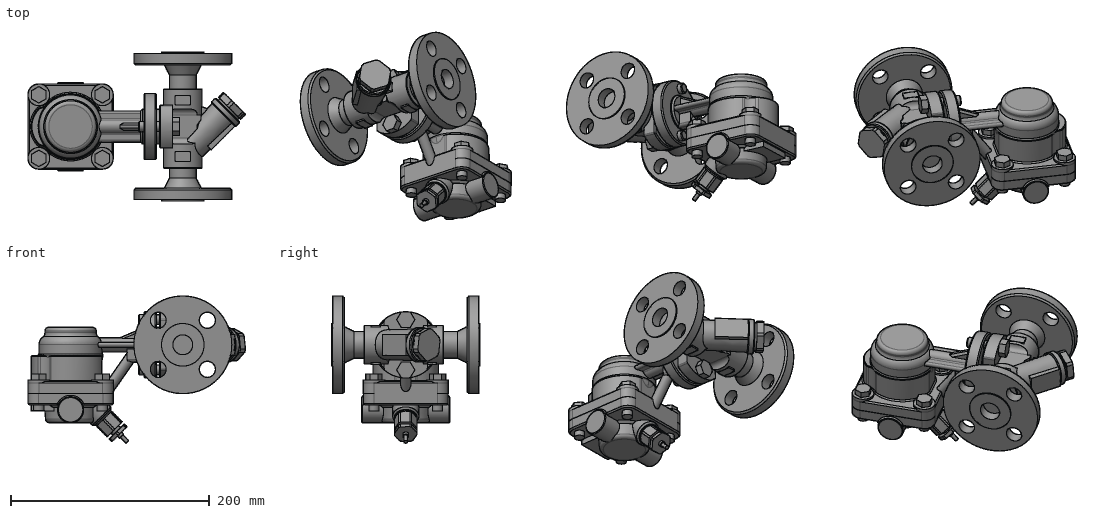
import cadquery as cq
import math


HEX_SECTOR = 60.0

FACE_TO_FACE = 150.0
FLANGE_R = 98.6 / 2
FLANGE_BACK_Y = 61.9
FLANGE_EDGE_CHAMFER = 1.8
RAISED_FACE_R = 42.9 / 2
RAISED_FACE_H = 1.4
BORE_R = 20.0 / 2
BORE_DEPTH = 11.0
FLANGE_HOLE_D = 16.0
FLANGE_HOLE_COUNT = 4
FLANGE_FIRST_HOLE_ANGLE = 45
FLANGE_BOLT_CIRCLE_R = 69.9 / 2
PIPE_R = 27.2 / 2
PIPE_START_Y = 30.0
HUB_R = 18.6
HUB_START_Y = 52.0

BODY_R = 39.0 / 2
BODY_Y_MIN = -42.0
BODY_Y_MAX = 38.0
BODY_CHAMFER = 0.7
WAIST_HALF_H = 13.0
WAIST_HALF_Y = 11.7
WAIST_WALL_R = 6.0
WAIST_RIGHT_X = 18.3
WAIST_SLOPE_FOOT_X = 5.2
WAIST_SLOPE_TOP_Y = 6.9
WEB_TOP_Y = 20.0
WEB_TIP = (24.7, 18.1)
WEB_HALF_H = 5.0
PAD_HALF_X = 7.8
PAD_TOP_Z = 19.6
PAD_CORNER_R = 1.0
PAD_SPANS_Y = ((21.8, 31.1), (-35.2, -25.2))

JOINT_R = 33.4
BODY_JOINT_X = (-23.6, -10.2)
BODY_JOINT_HALF_Y = 21.7
BODY_JOINT_FILLET = 2.0
BODY_JOINT_CHAMFER = 1.2
ARM_JOINT_X = (-39.3, -26.5)
ARM_JOINT_CHAMFER = 1.3
JOINT_NECK_R = 17.7
JOINT_PAD_X = -42.4
JOINT_PAD_CHAMFER = 1.8
JOINT_BOLT_Z = 25.3
JOINT_BOLT_R = 10.0 / 2
JOINT_BOLT_END_R = 10.5 / 2
JOINT_BOLT_END_X = -44.6
JOINT_BOLT_END_CHAMFER = 1.0
JOINT_HEAD_X = -3.2
JOINT_HEAD_CORNER_D = 18.2

BRANCH_START_Y = -28.7
BRANCH_ROOT_R = 15.0
BRANCH_R = 16.0
COLLAR_R = 35.0 / 2
COLLAR_START = 57.5
COLLAR_END = 64.2
COLLAR_CHAMFER = 1.0
PLUG_NECK_R = 14.0
PLUG_HEX_START = 66.5
PLUG_END = 73.6
PLUG_FLATS = 30.0
PLUG_CORNERS = 32.75
PLUG_TURN = 21.5
BRANCH_PAD_START = 24.0
BRANCH_PAD_TOP = 16.5
BRANCH_PAD_HALF_H = 10.6

TRAP_X = -113.0
TRAP_SIDE = 86.0
CORNER_R = 11.0
COVER_WIDTH_Y = 85.2
BOLT_OFFSET = 32.0
TRAP_FLANGE_TOP_Z = -37.2
PARTING_Z = -49.25
COVER_BOTTOM_Z = -60.7
TRAP_EDGE = 1.5
BOSS_TOP_Z = -35.2
TRAP_HEAD_TOP_Z = -29.2
TRAP_HEAD_CORNER_D = 16.6
TRAP_BOLT_R = 10.5 / 2
TRAP_BOLT_END_Z = -66.5

BARREL_R = 33.2
BARREL_TOP_Z = -10.8
BARREL_EDGE = 0.8
BARREL_RIGHT_X = -81.6
BULGE_LEFT_X = -152.7
BULGE_R = 26.0
COVE_R = 13.0
COVE_EDGE_R = 4.5
BARREL_FOOT = 1.4
DOME_FOOT_Z = -9.1
DOME_FOOT_R = 32.6
DOME_R = 31.9
DOME_SHOULDER_Z = 0.2
DOME_SHOULDER_ARC_R = 9.4
DOME_SHOULDER_ANGLE = 60.0
CAP_R = 26.0
CAP_NECK_Z = 12.4
CAP_TOP_Z = 17.75
CAP_EDGE_R = 4.1

BOWL_TOP_R = 26.5
BOWL_FLARE = 2.5
BOWL_R = 25.0
BOWL_EDGE_R = 4.0
BOTTOM_Z = -78.6
SIDE_BOSS_R = 13.2
SIDE_BOSS_LENGTH = 89.0
SIDE_BOSS_CHAMFER = 0.9
SIDE_BOSS_FLARE = 1.4
BLOCK_LEFT_X = -152.7
BLOCK_HALF_Y = 20.0

DRAIN_AXIS_POINT = (-76.85, -76.85)
DRAIN_BOSS_R = 13.2
DRAIN_BOSS_CHAMFER = 1.8
DRAIN_BOSS_START = -22.0
DRAIN_BOSS_END = -5.2
DRAIN_NECK_R = 21.0 / 2
DRAIN_NUT = (-3.6, 11.7)
DRAIN_WHEEL = (14.6, 18.5)
DRAIN_SPINDLE_R = 11.0 / 2
DRAIN_STEM_BASE_R = 6.0 / 2
DRAIN_STEM_BASE_END = 21.5
DRAIN_STEM_R = 4.0 / 2
DRAIN_STEM_END = 29.55
DRAIN_FLATS = 21.0
DRAIN_CORNERS = 23.0
DRAIN_TURN = 4.0

ARM_TUBE_R = 7.3
ARM_HALF_Y = 15.9
ARM_HALF_H = 2.5
ARM_ROOT_FILLET = 1.7
RIB_HALF_Y = 3.8
RIB_CHAMFER = 2.2
RIB_START_X = -63.0
RIB_TOP_Z = 16.0
ARM_BLOCK_LEFT_X = -56.0
ARM_BLOCK_HALF_Y = 6.0
ARM_BLOCK_BOTTOM_Z = -17.6
ARM_BLOCK_FILLET = 3.0
RETURN_TUBE_R = 11.0 / 2
RETURN_TUBE_TOP = (-50.8, -10.0)
RETURN_TUBE_BOTTOM = (-75.2, -45.0)


def cylinder(start, end, radius):
    """Solid cylinder between two points."""
    axis = cq.Vector(*end) - cq.Vector(*start)
    return cq.Workplane(obj=cq.Solid.makeCylinder(radius, axis.Length, cq.Vector(*start), axis))


def cone(start, end, start_r, end_r):
    """Solid cone frustum between two points."""
    axis = cq.Vector(*end) - cq.Vector(*start)
    return cq.Workplane(obj=cq.Solid.makeCone(start_r, end_r, axis.Length, cq.Vector(*start), axis))


def box(x_span, y_span, z_span):
    """Axis-aligned box given by its limits."""
    size = [span[1] - span[0] for span in (x_span, y_span, z_span)]
    corner = cq.Vector(x_span[0], y_span[0], z_span[0])
    return cq.Workplane(obj=cq.Solid.makeBox(*size, corner))


def blunt_hex(plane, station, length, flats, corners, turn):
    """Hexagonal prism whose six corners are cut flat."""
    def prism(across, angle):
        corner_d = across / math.cos(math.radians(HEX_SECTOR / 2))
        prism_plane = cq.Plane(plane.origin, plane.xDir, plane.zDir).rotated((0, 0, angle))
        return cq.Workplane(prism_plane).workplane(offset=station).polygon(6, corner_d).extrude(length)
    return prism(flats, turn).intersect(prism(corners, turn + HEX_SECTOR / 2))


def pipe_end(side):
    """Pipe, welding hub and drilled flange at one end of the connector."""
    face_y = FACE_TO_FACE / 2
    rim_y = face_y - RAISED_FACE_H
    bore_y = face_y - BORE_DEPTH
    profile = (
        cq.Workplane("XY")
        .moveTo(0, PIPE_START_Y)
        .lineTo(PIPE_R, PIPE_START_Y)
        .lineTo(PIPE_R, HUB_START_Y)
        .lineTo(HUB_R, FLANGE_BACK_Y)
        .lineTo(FLANGE_R - FLANGE_EDGE_CHAMFER, FLANGE_BACK_Y)
        .lineTo(FLANGE_R, FLANGE_BACK_Y + FLANGE_EDGE_CHAMFER)
        .lineTo(FLANGE_R, rim_y)
        .lineTo(RAISED_FACE_R, rim_y)
        .lineTo(RAISED_FACE_R, face_y)
        .lineTo(BORE_R, face_y)
        .lineTo(BORE_R, bore_y)
        .lineTo(0, bore_y)
        .close()
    )
    end = profile.revolve(360, (0, 0, 0), (0, 1, 0))
    holes = (
        cq.Workplane("XZ")
        .polarArray(FLANGE_BOLT_CIRCLE_R, FLANGE_FIRST_HOLE_ANGLE, 360, FLANGE_HOLE_COUNT)
        .circle(FLANGE_HOLE_D / 2)
        .extrude(-FACE_TO_FACE)
    )
    end = end.cut(holes)
    return end if side > 0 else end.mirror("XZ")


def connector_body():
    """Cylindrical body with flats for the joint bolt heads and raised pads on top and below."""
    body = cylinder((0, BODY_Y_MIN, 0), (0, BODY_Y_MAX, 0), BODY_R).faces("<Y or >Y").chamfer(BODY_CHAMFER)
    waist_plan = [
        (0, -WAIST_HALF_Y),
        (WAIST_SLOPE_FOOT_X, -WAIST_HALF_Y),
        (WAIST_RIGHT_X, WAIST_SLOPE_TOP_Y),
        (WAIST_RIGHT_X, WAIST_HALF_Y),
        (0, WAIST_HALF_Y),
    ]
    waist = cq.Workplane("XY", origin=(0, 0, -BODY_R)).polyline(waist_plan).close().extrude(2 * BODY_R)
    body = body.union(waist)
    wall_y = WAIST_HALF_Y + WAIST_WALL_R
    wall_z = WAIST_HALF_H + WAIST_WALL_R
    waist_profile = (
        cq.Workplane("YZ", origin=(-BODY_R, 0, 0))
        .moveTo(-WAIST_HALF_Y, WAIST_HALF_H)
        .lineTo(WAIST_HALF_Y, WAIST_HALF_H)
        .radiusArc((wall_y, wall_z), -WAIST_WALL_R)
        .lineTo(wall_y, wall_z + WAIST_WALL_R)
        .lineTo(-wall_y, wall_z + WAIST_WALL_R)
        .lineTo(-wall_y, wall_z)
        .radiusArc((-WAIST_HALF_Y, WAIST_HALF_H), -WAIST_WALL_R)
        .close()
    )
    flat = waist_profile.extrude(2 * BODY_R)
    body = body.cut(flat).cut(flat.mirror("XY"))
    for span in PAD_SPANS_Y:
        pad = box((-PAD_HALF_X, PAD_HALF_X), span, (-PAD_TOP_Z, PAD_TOP_Z))
        body = body.union(pad.edges("|Z").fillet(PAD_CORNER_R))
    return body


def strainer_branch():
    """Tapered 45 degree branch closed by a collar and a hexagon plug."""
    diagonal = math.sqrt(0.5)
    plane = cq.Plane((0, BRANCH_START_Y, 0), (diagonal, -diagonal, 0), (diagonal, diagonal, 0))
    branch = (
        cq.Workplane(plane).circle(BRANCH_ROOT_R).workplane(offset=COLLAR_START).circle(BRANCH_R).loft()
    )
    branch = branch.intersect(box((0, COLLAR_END), (-COLLAR_END, COLLAR_END), (-COLLAR_R, COLLAR_R)))
    collar = (
        cq.Workplane(plane)
        .workplane(offset=COLLAR_START)
        .circle(COLLAR_R)
        .extrude(COLLAR_END - COLLAR_START)
        .edges()
        .chamfer(COLLAR_CHAMFER)
    )
    neck = (
        cq.Workplane(plane)
        .workplane(offset=COLLAR_START)
        .circle(PLUG_NECK_R)
        .extrude(PLUG_HEX_START - COLLAR_START)
    )
    plug = blunt_hex(
        plane, PLUG_HEX_START, PLUG_END - PLUG_HEX_START, PLUG_FLATS, PLUG_CORNERS, PLUG_TURN
    )
    pad = (
        cq.Workplane(plane)
        .workplane(offset=BRANCH_PAD_START)
        .center(BRANCH_PAD_TOP / 2, 0)
        .rect(BRANCH_PAD_TOP, 2 * BRANCH_PAD_HALF_H)
        .extrude(COLLAR_START - BRANCH_PAD_START)
    )
    web = (
        cq.Workplane("XY", origin=(0, 0, -WEB_HALF_H))
        .polyline([(0, WEB_TOP_Y), (BODY_R, WEB_TOP_Y), WEB_TIP, (0, BRANCH_START_Y)])
        .close()
        .extrude(2 * WEB_HALF_H)
    )
    return branch.union(pad).union(web).union(collar).union(neck).union(plug)


def joint():
    """Two facing flanges, the neck between them and the two clamping bolts."""
    body_side = cylinder((BODY_JOINT_X[0], 0, 0), (BODY_JOINT_X[1], 0, 0), JOINT_R)
    sides = box(BODY_JOINT_X, (-BODY_JOINT_HALF_Y, BODY_JOINT_HALF_Y), (-JOINT_R, JOINT_R))
    body_side = body_side.intersect(sides).edges("|X").fillet(BODY_JOINT_FILLET)
    body_side = body_side.faces("<X").chamfer(BODY_JOINT_CHAMFER)
    arm_side = cylinder((ARM_JOINT_X[0], 0, 0), (ARM_JOINT_X[1], 0, 0), JOINT_R)
    arm_side = arm_side.edges().chamfer(ARM_JOINT_CHAMFER)
    neck = cylinder((ARM_JOINT_X[0], 0, 0), (BODY_JOINT_X[1], 0, 0), JOINT_NECK_R)
    pad = cylinder((JOINT_PAD_X, 0, 0), (ARM_JOINT_X[1], 0, 0), JOINT_NECK_R)
    pad = pad.faces("<X").chamfer(JOINT_PAD_CHAMFER)
    assembly = body_side.union(arm_side).union(neck).union(pad)
    for z in (-JOINT_BOLT_Z, JOINT_BOLT_Z):
        shank = cylinder((ARM_JOINT_X[0], 0, z), (BODY_JOINT_X[1], 0, z), JOINT_BOLT_R)
        end = cylinder((JOINT_BOLT_END_X, 0, z), (ARM_JOINT_X[1], 0, z), JOINT_BOLT_END_R)
        end = end.faces("<X").chamfer(JOINT_BOLT_END_CHAMFER)
        head = (
            cq.Workplane("YZ", origin=(BODY_JOINT_X[1], 0, z))
            .polygon(6, JOINT_HEAD_CORNER_D)
            .extrude(JOINT_HEAD_X - BODY_JOINT_X[1])
        )
        assembly = assembly.union(shank).union(end).union(head)
    return assembly


def arm():
    """Tube with side ribs, top gusset, lower block and slanting return tube."""
    arm_x = (TRAP_X, ARM_JOINT_X[1])
    web = (
        cq.Workplane("YZ", origin=(arm_x[0], 0, 0))
        .slot2D(2 * ARM_HALF_Y, 2 * ARM_HALF_H)
        .extrude(arm_x[1] - arm_x[0])
    )
    tube = cylinder((arm_x[0], 0, 0), (arm_x[1], 0, 0), ARM_TUBE_R)
    root_y = math.sqrt(ARM_TUBE_R ** 2 - ARM_HALF_H ** 2)
    beam = web.union(tube)
    for y in (-root_y, root_y):
        for z in (-ARM_HALF_H, ARM_HALF_H):
            root = cq.selectors.NearestToPointSelector(((arm_x[0] + arm_x[1]) / 2, y, z))
            beam = beam.edges("|X").edges(root).fillet(ARM_ROOT_FILLET)
    gusset = (
        cq.Workplane("XZ", origin=(0, RIB_HALF_Y, 0))
        .polyline([(RIB_START_X, 0), (RIB_START_X, ARM_TUBE_R), (JOINT_PAD_X, RIB_TOP_Z), (JOINT_PAD_X, 0)])
        .close()
        .extrude(2 * RIB_HALF_Y)
        .edges("not (|X or |Y or |Z)")
        .chamfer(RIB_CHAMFER)
    )
    block = box(
        (ARM_BLOCK_LEFT_X, ARM_JOINT_X[1]),
        (-ARM_BLOCK_HALF_Y, ARM_BLOCK_HALF_Y),
        (ARM_BLOCK_BOTTOM_Z, 0),
    )
    block = block.edges("<Z").edges("|X or <X").fillet(ARM_BLOCK_FILLET)
    block = block.intersect(cylinder((arm_x[0], 0, 0), (arm_x[1], 0, 0), JOINT_R))
    return_tube = cylinder(
        (RETURN_TUBE_BOTTOM[0], 0, RETURN_TUBE_BOTTOM[1]),
        (RETURN_TUBE_TOP[0], 0, RETURN_TUBE_TOP[1]),
        RETURN_TUBE_R,
    )
    return beam.union(gusset).union(block).union(return_tube)


def trap_plate(width_y, corner_r, bottom_z, top_z):
    """Plate with rounded corners, centred on the trap axis."""
    return (
        cq.Workplane("XY", origin=(TRAP_X, 0, bottom_z))
        .rect(TRAP_SIDE, width_y)
        .extrude(top_z - bottom_z)
        .edges("|Z")
        .fillet(corner_r)
    )


def bolt_places():
    """X and Y of the four trap bolts."""
    return [(TRAP_X + sx * BOLT_OFFSET, sy * BOLT_OFFSET) for sx in (-1, 1) for sy in (-1, 1)]


def trap_flanges():
    """Square flange and cover with their four through bolts."""
    upper = trap_plate(TRAP_SIDE, CORNER_R, PARTING_Z, TRAP_FLANGE_TOP_Z).faces(">Z").chamfer(TRAP_EDGE)
    cover_corner_r = CORNER_R - (TRAP_SIDE - COVER_WIDTH_Y) / 2
    cover = trap_plate(COVER_WIDTH_Y, cover_corner_r, COVER_BOTTOM_Z, PARTING_Z)
    cover = cover.faces("<Z").chamfer(TRAP_EDGE)
    plates = upper.union(cover)
    for x, y in bolt_places():
        boss = cylinder((x, y, PARTING_Z), (x, y, BOSS_TOP_Z), CORNER_R)
        head = (
            cq.Workplane("XY", origin=(x, y, BOSS_TOP_Z))
            .transformed(rotate=(0, 0, 90))
            .polygon(6, TRAP_HEAD_CORNER_D)
            .extrude(TRAP_HEAD_TOP_Z - BOSS_TOP_Z)
        )
        bolt = cylinder((x, y, PARTING_Z), (x, y, TRAP_BOLT_END_Z), TRAP_BOLT_R)
        plates = plates.union(boss).union(head).union(bolt)
    return plates


def trap_barrel():
    """Barrel above the flange, bulged to the left and hollowed beside the left-hand bolts."""
    low = (TRAP_X, 0, PARTING_Z)
    barrel = cylinder(low, (TRAP_X, 0, BARREL_TOP_Z), BARREL_R)
    bulge_x = BULGE_LEFT_X + BULGE_R
    barrel = barrel.union(cylinder((bulge_x, 0, PARTING_Z), (bulge_x, 0, BARREL_TOP_Z), BULGE_R))
    barrel = barrel.intersect(
        box((BULGE_LEFT_X, BARREL_RIGHT_X), (-BARREL_R, BARREL_R), (PARTING_Z, BARREL_TOP_Z))
    )
    for x, y in bolt_places():
        if x < TRAP_X:
            barrel = barrel.cut(cylinder((x, y, PARTING_Z), (x, y, BARREL_TOP_Z), COVE_R))
    barrel = barrel.edges("|Z").fillet(COVE_EDGE_R)
    foot = (
        barrel.faces("<Z")
        .wires()
        .toPending()
        .offset2D(BARREL_FOOT)
        .extrude(TRAP_FLANGE_TOP_Z + BARREL_FOOT - PARTING_Z, combine=False)
        .faces(">Z")
        .chamfer(BARREL_FOOT)
    )
    return barrel.faces(">Z").chamfer(BARREL_EDGE).union(foot)


def trap_dome():
    """Domed housing with a stepped cap."""
    arc_centre_r = DOME_R - DOME_SHOULDER_ARC_R

    def shoulder_point(degrees):
        angle = math.radians(degrees)
        return (
            arc_centre_r + DOME_SHOULDER_ARC_R * math.cos(angle),
            DOME_SHOULDER_Z + DOME_SHOULDER_ARC_R * math.sin(angle),
        )

    profile = (
        cq.Workplane("XZ", origin=(TRAP_X, 0, 0))
        .moveTo(0, PARTING_Z)
        .lineTo(0, CAP_TOP_Z)
        .lineTo(CAP_R - CAP_EDGE_R, CAP_TOP_Z)
        .radiusArc((CAP_R, CAP_TOP_Z - CAP_EDGE_R), CAP_EDGE_R)
        .lineTo(CAP_R, CAP_NECK_Z)
        .tangentArcPoint(shoulder_point(DOME_SHOULDER_ANGLE), relative=False)
        .threePointArc(shoulder_point(DOME_SHOULDER_ANGLE / 2), shoulder_point(0))
        .lineTo(DOME_R, DOME_FOOT_Z)
        .radiusArc((DOME_FOOT_R, BARREL_TOP_Z), DOME_FOOT_Z - BARREL_TOP_Z)
        .lineTo(CAP_R, PARTING_Z)
        .close()
    )
    return profile.revolve(360, (0, 0, 0), (0, 1, 0))


def trap_bowl():
    """Bowl under the cover, with its side bosses and the block on the left."""
    bowl = (
        cq.Workplane("XY", origin=(TRAP_X, 0, COVER_BOTTOM_Z + TRAP_EDGE))
        .circle(BOWL_TOP_R)
        .workplane(offset=BOTTOM_Z - COVER_BOTTOM_Z - TRAP_EDGE)
        .circle(BOWL_R)
        .loft()
        .faces("<Z")
        .edges()
        .fillet(BOWL_EDGE_R)
    )
    boss_z = BOTTOM_Z + SIDE_BOSS_R
    half = SIDE_BOSS_LENGTH / 2
    side_boss = cylinder((TRAP_X, -half, boss_z), (TRAP_X, half, boss_z), SIDE_BOSS_R)
    side_boss = side_boss.faces("<Y or >Y").chamfer(SIDE_BOSS_CHAMFER)
    block = box((BLOCK_LEFT_X, TRAP_X), (-BLOCK_HALF_Y, BLOCK_HALF_Y), (TRAP_BOLT_END_Z, PARTING_Z))
    flare_z = COVER_BOTTOM_Z - BOWL_FLARE
    flare = cone((TRAP_X, 0, COVER_BOTTOM_Z), (TRAP_X, 0, flare_z), BOWL_TOP_R + BOWL_FLARE, BOWL_TOP_R)
    bowl = bowl.union(flare).union(side_boss).union(block)
    for side in (-1, 1):
        wall_y = side * COVER_WIDTH_Y / 2
        outer_y = wall_y + side * SIDE_BOSS_FLARE
        collar = cone(
            (TRAP_X, wall_y, boss_z), (TRAP_X, outer_y, boss_z), SIDE_BOSS_R + SIDE_BOSS_FLARE, SIDE_BOSS_R
        )
        above_cover = box((TRAP_X - half, TRAP_X + half), (-half, half), (COVER_BOTTOM_Z, PARTING_Z))
        bowl = bowl.union(collar.intersect(above_cover))
    return bowl


def drain_valve():
    """Drain boss, hexagon nut, hexagon wheel and stem on one slanting axis."""
    diagonal = math.sqrt(0.5)
    plane = cq.Plane((DRAIN_AXIS_POINT[0], 0, DRAIN_AXIS_POINT[1]), (0, 1, 0), (diagonal, 0, -diagonal))

    def round_bar(start, end, radius):
        return cq.Workplane(plane).workplane(offset=start).circle(radius).extrude(end - start)

    valve = round_bar(DRAIN_BOSS_START, DRAIN_BOSS_END, DRAIN_BOSS_R)
    valve = valve.faces(">X").edges().chamfer(DRAIN_BOSS_CHAMFER)
    valve = valve.union(round_bar(DRAIN_BOSS_START, DRAIN_NUT[1], DRAIN_NECK_R))
    for start, end in (DRAIN_NUT, DRAIN_WHEEL):
        valve = valve.union(blunt_hex(plane, start, end - start, DRAIN_FLATS, DRAIN_CORNERS, DRAIN_TURN))
    valve = valve.union(round_bar(DRAIN_NUT[0], DRAIN_WHEEL[1], DRAIN_SPINDLE_R))
    valve = valve.union(round_bar(DRAIN_WHEEL[0], DRAIN_STEM_BASE_END, DRAIN_STEM_BASE_R))
    return valve.union(round_bar(DRAIN_WHEEL[0], DRAIN_STEM_END, DRAIN_STEM_R))


trap = trap_flanges().union(trap_barrel()).union(trap_dome()).union(trap_bowl()).union(drain_valve())
connector = connector_body().union(pipe_end(1)).union(pipe_end(-1)).union(strainer_branch()).union(joint())
result = trap.union(arm()).union(connector)